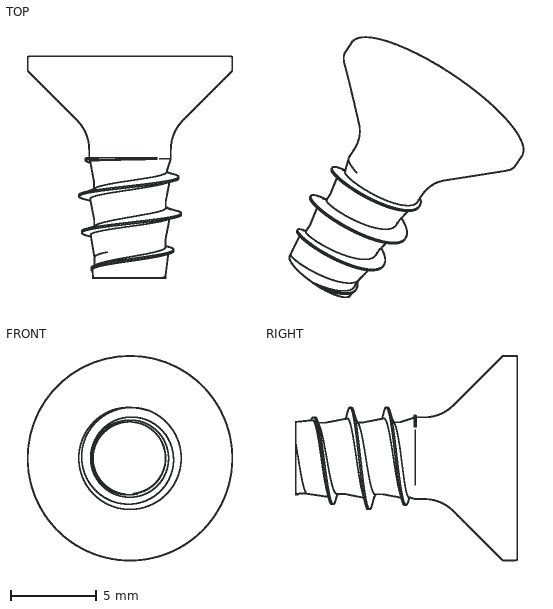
import cadquery as cq
import math


length = 13.0
head_radius = 6.0
head_rim_depth = 0.86
head_top_fillet = 0.1
head_rim_fillet = 0.15
shank_radius = 2.4
shank_end = 6.0
head_cone_angle = math.radians(45)
head_cone_end = head_rim_depth + (head_radius - shank_radius) / math.tan(head_cone_angle)
neck_radius = 2.4

core_radius = 2.12
core_start = 6.87
tip_radius = 2.08
tip_recess_radius = 1.97
tip_recess_angle = math.radians(5)

pitch = 2.14
thread_datum = 7.10
crest_radius = 3.0
crest_width = 0.1
flank_bend_share = 0.4
upper_flank_slope = 0.25
lower_flank_slope = 0.49
tip_flank_slope = 0.22
ramp_radius = 2.34
ramp_length = 1.46
ramp_end_radius = 2.09
thread_base_radius = 1.8
thread_clip_depth = 5.94
lead_in_depth = 5.97
lead_in_crest_radius = 2.45
lead_in_ramp_radius = 2.21
first_crest_radius = 2.62
low_crest_radius = 2.27
low_ramp_radius = 2.21
end_crest_radius = 2.12
end_ramp_radius = 2.1

lead_in_turns = -0.86
first_turns = -0.5
full_height_turns = 0.3
fade_turns = 1.2
low_turns = 2.5
end_turns = 2.8
points_per_turn = 24


def crest_depth(turns):
    """Depth of the thread crest on the regular helix."""
    return thread_datum + pitch * turns


def station(turns, crest, ramp, crest_lift=0):
    """Thread section at one angle: its turns and its (depth, radius) corners.

    The lift moves the crest tipwards off the regular helix; the ramp stays on it.
    """
    regular_depth = crest_depth(turns)
    head_edge = regular_depth + crest_lift - crest_width / 2
    tip_edge = head_edge + crest_width
    bend_radius = core_radius + flank_bend_share * (crest - core_radius)
    bend_depth = head_edge - (crest - bend_radius) * upper_flank_slope
    root_depth = bend_depth - (bend_radius - thread_base_radius) * lower_flank_slope
    ramp_end = regular_depth + ramp_length
    corners = [
        (root_depth, thread_base_radius),
        (bend_depth, bend_radius),
        (head_edge, crest),
        (tip_edge, crest),
        (tip_edge + (crest - ramp) * tip_flank_slope, ramp),
        (ramp_end, ramp_end_radius),
        (ramp_end, thread_base_radius),
    ]
    return turns, corners


def helix_point(turns, depth, radius):
    """Point at an angle counted in turns from +X."""
    angle = 2 * math.pi * turns
    return cq.Vector(radius * math.cos(angle), radius * math.sin(angle), depth)


def helix_edge(start_turns, start, end_turns, end):
    """Helix whose depth and radius both change evenly from start to end."""
    steps = math.ceil((end_turns - start_turns) * points_per_turn)
    points = []
    for step in range(steps + 1):
        part = step / steps
        turns = start_turns + part * (end_turns - start_turns)
        depth = start[0] + part * (end[0] - start[0])
        radius = start[1] + part * (end[1] - start[1])
        points.append(helix_point(turns, depth, radius))
    return cq.Edge.makeSpline(points)


def end_cap(section):
    """Flat face that closes the thread at one section."""
    turns, corners = section
    points = [helix_point(turns, depth, radius) for depth, radius in corners]
    return cq.Face.makeFromWires(cq.Wire.makePolygon(points, close=True))


def make_thread():
    """Thread that starts flat under the shank, grows, runs at full height and fades out."""
    lead_in_lift = lead_in_depth - crest_depth(lead_in_turns)
    sections = [
        station(lead_in_turns, lead_in_crest_radius, lead_in_ramp_radius, lead_in_lift),
        station(first_turns, first_crest_radius, ramp_radius),
        station(full_height_turns, crest_radius, ramp_radius),
        station(fade_turns, crest_radius, ramp_radius),
        station(low_turns, low_crest_radius, low_ramp_radius),
        station(end_turns, end_crest_radius, end_ramp_radius),
    ]
    faces = [end_cap(sections[0]), end_cap(sections[-1])]
    for (start_turn, start), (end_turn, end) in zip(sections, sections[1:]):
        edges = [helix_edge(start_turn, a, end_turn, b) for a, b in zip(start, end)]
        for edge, following in zip(edges, edges[1:] + edges[:1]):
            faces.append(cq.Face.makeRuledSurface(edge, following))
    thread = cq.Workplane(obj=cq.Solid.makeSolid(cq.Shell.makeShell(faces)))
    envelope = (
        cq.Workplane()
        .workplane(offset=thread_clip_depth)
        .circle(head_radius)
        .extrude(length - thread_clip_depth)
    )
    return thread.intersect(envelope)


def make_body():
    """Turned body: countersunk head, filleted neck, shank and core."""
    neck_end = head_cone_end + neck_radius * math.tan(head_cone_angle / 2)

    def neck_point(angle):
        """Radius and depth on the neck arc, at an angle from its end on the shank."""
        radius = shank_radius + neck_radius * (1 - math.cos(angle))
        return radius, neck_end - neck_radius * math.sin(angle)

    profile = (
        cq.Workplane("YZ")
        .lineTo(head_radius, 0)
        .lineTo(head_radius, head_rim_depth)
        .lineTo(*neck_point(head_cone_angle))
        .threePointArc(neck_point(head_cone_angle / 2), neck_point(0))
        .lineTo(shank_radius, shank_end)
        .lineTo(core_radius, core_start)
        .lineTo(tip_radius, length)
        .lineTo(0, length)
        .close()
    )
    body = profile.revolve(360, (0, 0, 0), (0, 1, 0))
    body = body.faces("<Z").edges().fillet(head_top_fillet)
    return body.edges(cq.selectors.RadiusNthSelector(-1)).edges(">Z").fillet(head_rim_fillet)


def make_tip_recess():
    """Shallow cone that dishes the end of the tip."""
    recess_depth = tip_recess_radius * math.tan(tip_recess_angle)
    return (
        cq.Workplane("YZ")
        .moveTo(0, length)
        .lineTo(tip_recess_radius, length)
        .lineTo(0, length - recess_depth)
        .close()
        .revolve(360, (0, 0, 0), (0, 1, 0))
    )


screw = make_body().union(make_thread()).cut(make_tip_recess())
result = screw.rotate((0, 0, 0), (1, 0, 0), 90)